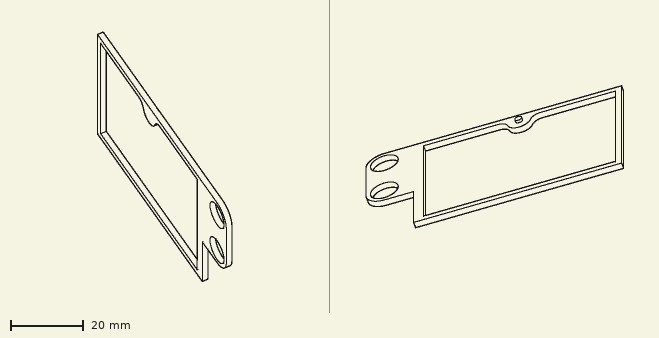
import cadquery as cq
import math

overall_length = 73.99
overall_height = 42.7
plate_thickness = 1.8

side_wall = 1.8
rail_height = 2.0
window_length = 55.5
post_width = 2.9

hole_diameter = 8.0
hole_rim = 1.35
hole_pitch = 15.0

lobe_center_x = 29.65
lobe_radius = 3.4
lobe_drop = 6.7
lobe_blend_radius = 3.0

pin_diameter = 2.0
pin_length = 0.8
pin_drop = 3.25

tab_radius = hole_diameter / 2 + hole_rim
tab_height = hole_pitch + 2 * tab_radius
tab_bottom_z = overall_height - tab_height
hole_x = overall_length - tab_radius
upper_hole_z = overall_height - tab_radius
window_top_z = overall_height - rail_height
window_height = overall_height - 2 * rail_height
window_right_x = side_wall + window_length
frame_length = window_right_x + post_width


def slab(x, z, length, height):
    """Plate-thick block with its lower-left corner at (x, z)."""
    return cq.Workplane("XY").box(length, plate_thickness, height, centered=False).translate((x, 0, z))


def make_frame():
    """Rectangular frame around the window."""
    frame = slab(0, 0, frame_length, overall_height)
    return frame.cut(slab(side_wall, rail_height, window_length, window_height))


def make_tab():
    """Side tab, rounded concentric with its two holes."""
    tab = slab(window_right_x, tab_bottom_z, overall_length - window_right_x, tab_height)
    return tab.edges("|Y and >X").fillet(tab_radius)


def cylinder_along_y(x, z, diameter, start_y, length):
    """Cylinder along +Y, starting at start_y."""
    start = cq.Vector(x, start_y, z)
    return cq.Workplane(cq.Solid.makeCylinder(diameter / 2, length, start, cq.Vector(0, 1, 0)))


def make_lobe():
    """Circular lobe joined to the rail by a tangent concave arc on each side."""
    lobe_z = overall_height - lobe_drop + lobe_radius
    blend_z = window_top_z - lobe_blend_radius
    center_distance = lobe_radius + lobe_blend_radius
    rise = blend_z - lobe_z
    reach = math.sqrt(center_distance**2 - rise**2)
    touch_x = reach * lobe_radius / center_distance
    touch_z = lobe_z + rise * lobe_radius / center_distance
    half_turn = math.atan2(reach, -rise) / 2
    mid_x = reach - lobe_blend_radius * math.sin(half_turn)
    mid_z = blend_z + lobe_blend_radius * math.cos(half_turn)
    profile = (
        cq.Workplane("XZ", origin=(lobe_center_x, 0, 0))
        .moveTo(-reach, overall_height)
        .lineTo(-reach, window_top_z)
        .threePointArc((-mid_x, mid_z), (-touch_x, touch_z))
        .threePointArc((0, lobe_z - lobe_radius), (touch_x, touch_z))
        .threePointArc((mid_x, mid_z), (reach, window_top_z))
        .lineTo(reach, overall_height)
        .close()
    )
    return profile.extrude(-plate_thickness)


def make_pin():
    """Short locating pin standing on the back face."""
    pin_z = overall_height - pin_drop
    return cylinder_along_y(lobe_center_x, pin_z, pin_diameter, plate_thickness, pin_length)


result = make_frame().union(make_tab()).union(make_lobe()).union(make_pin())
for hole_z in (upper_hole_z, upper_hole_z - hole_pitch):
    result = result.cut(cylinder_along_y(hole_x, hole_z, hole_diameter, 0, plate_thickness))